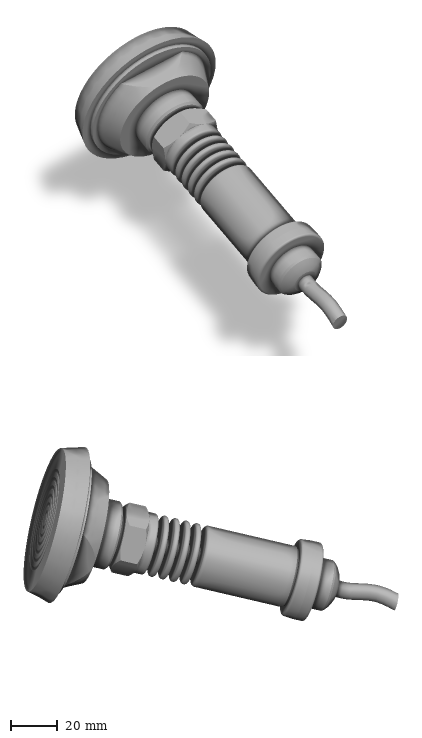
import cadquery as cq
import math

LENGTH = 156.9
EDGE_ROUND = 1.0

RIM_FRONT_RADIUS = 31.5
RIM_RADIUS = 34.28
RIM_END = 10.0
STEP_RADIUS = 30.5
STEP_END = 12.0
HUB_BASE_RADIUS = 27.8
HUB_TOP_RADIUS = 22.9
HUB_END = 22.0
HUB_FLAT_HALF_WIDTH = HUB_TOP_RADIUS
COLLAR_RADIUS = 14.98
ADAPTER_END = 30.8

MEMBRANE_RADIUS = 23.8
MEMBRANE_THICKNESS = 1.0
GROOVE_COUNT = 6
GROOVE_PITCH = 3.6
GROOVE_WIDTH = GROOVE_PITCH / 2
GROOVE_DEPTH = 0.3
FIRST_GROOVE_INNER_RADIUS = 2.59

NECK_RADIUS = 9.34
NECK_FILLET = 0.6
HEX_START = 32.5
HEX_END = 42.7
HEX_ACROSS_FLATS = 27.0
HEX_CHAMFER_ANGLE = 35.0
BODY_RADIUS = 13.41
STEM_RADIUS = 3.6
FINS_START = 47.0
FIN_COUNT = 4
FIN_WIDTH = 2.4
FIN_GAP = 2.43
FIN_ROUND = 1.1
FIN_PITCH = FIN_WIDTH + FIN_GAP
SLEEVE_START = FINS_START + FIN_GAP + FIN_COUNT * FIN_PITCH
SLEEVE_EDGE_ROUND = 1.3
SLEEVE_END = 108.9
SPIGOT_RADIUS = 12.7

RING_START = 109.8
RING_TAPER_END = 114.9
RING_END = 119.5
RING_FRONT_RADIUS = 16.8
RING_RADIUS = 17.3

GLAND_RADIUS = 11.1
GLAND_EDGE_START = 126.0
DOME_START = 127.0
DOME_BASE_RADIUS = 10.5
DOME_MIDDLE = (128.7, 8.5)
GLAND_END = 130.0
GLAND_END_RADIUS = 5.5

CABLE_RADIUS = 3.6
CABLE_END_MARGIN = 3.1
CABLE_DIP = (132.3, -0.6)
CABLE_CREST = (148.7, 2.4)
CABLE_EXIT = (LENGTH, -0.2)
CABLE_EXIT_SLOPE = 26.0


def turned(profile):
    """Revolve a closed (x, radius) profile about the X axis."""
    return profile.close().revolve(360, (0, 0, 0), (1, 0, 0))


def disc(start, end, radius):
    """Cylinder along X between two stations."""
    return cq.Workplane("YZ", origin=(start, 0, 0)).circle(radius).extrude(end - start)


def make_adapter():
    rim = turned(
        cq.Workplane("XY")
        .lineTo(0, RIM_FRONT_RADIUS)
        .lineTo(RIM_END, RIM_RADIUS)
        .lineTo(RIM_END, STEP_RADIUS)
        .lineTo(STEP_END, STEP_RADIUS)
        .lineTo(STEP_END, 0)
    )
    hub = turned(
        cq.Workplane("XY")
        .moveTo(STEP_END, 0)
        .lineTo(STEP_END, HUB_BASE_RADIUS)
        .lineTo(HUB_END, HUB_TOP_RADIUS)
        .lineTo(HUB_END, 0)
    )
    between_flats = cq.Workplane("XY").box(
        2 * LENGTH, 2 * HUB_BASE_RADIUS, 2 * HUB_FLAT_HALF_WIDTH
    )
    collar = disc(HUB_END, ADAPTER_END, COLLAR_RADIUS).faces(">X").chamfer(EDGE_ROUND)
    recess = disc(0, MEMBRANE_THICKNESS, MEMBRANE_RADIUS)
    return rim.union(hub.intersect(between_flats)).union(collar).cut(recess)


def make_membrane():
    """Disc with concentric arc-section grooves in its front face."""
    profile = cq.Workplane("XY").lineTo(0, FIRST_GROOVE_INNER_RADIUS)
    for i in range(GROOVE_COUNT):
        inner = FIRST_GROOVE_INNER_RADIUS + i * GROOVE_PITCH
        outer = inner + GROOVE_WIDTH
        profile = profile.lineTo(0, inner) if i else profile
        profile = profile.threePointArc((GROOVE_DEPTH, (inner + outer) / 2), (0, outer))
    return turned(
        profile.lineTo(0, MEMBRANE_RADIUS)
        .lineTo(MEMBRANE_THICKNESS, MEMBRANE_RADIUS)
        .lineTo(MEMBRANE_THICKNESS, 0)
    )


def make_hexagon():
    """Hexagon with corners up and down, both ends chamfered by a cone."""
    corner_radius = HEX_ACROSS_FLATS / 2 / math.cos(math.radians(30))
    chamfer_base = HEX_ACROSS_FLATS / 2
    chamfer_length = (corner_radius - chamfer_base) * math.tan(math.radians(HEX_CHAMFER_ANGLE))
    prism = (
        cq.Workplane("YZ", origin=(HEX_START, 0, 0))
        .transformed(rotate=(0, 0, 90))
        .polygon(6, 2 * corner_radius)
        .extrude(HEX_END - HEX_START)
    )
    envelope = turned(
        cq.Workplane("XY")
        .moveTo(HEX_START, 0)
        .lineTo(HEX_START, chamfer_base)
        .lineTo(HEX_START + chamfer_length, corner_radius)
        .lineTo(HEX_END - chamfer_length, corner_radius)
        .lineTo(HEX_END, chamfer_base)
        .lineTo(HEX_END, 0)
    )
    return prism.intersect(envelope)


def make_neck():
    """Round neck that flares into the hexagon with a concave fillet."""
    return turned(
        cq.Workplane("XY")
        .moveTo(ADAPTER_END, 0)
        .lineTo(ADAPTER_END, NECK_RADIUS)
        .lineTo(HEX_START - NECK_FILLET, NECK_RADIUS)
        .radiusArc((HEX_START, NECK_RADIUS + NECK_FILLET), -NECK_FILLET)
        .lineTo(HEX_START, 0)
    )


def make_housing():
    neck = make_neck()
    collar = disc(HEX_END, FINS_START, BODY_RADIUS).faces(">X").edges().fillet(EDGE_ROUND)
    stem = disc(FINS_START, SLEEVE_START, STEM_RADIUS)
    sleeve = disc(SLEEVE_START, SLEEVE_END, BODY_RADIUS).faces("<X").edges().fillet(SLEEVE_EDGE_ROUND)
    spigot = disc(SLEEVE_END, RING_START, SPIGOT_RADIUS)
    housing = neck.union(make_hexagon()).union(collar).union(stem).union(sleeve).union(spigot)
    for i in range(FIN_COUNT):
        start = FINS_START + FIN_GAP + i * FIN_PITCH
        fin = disc(start, start + FIN_WIDTH, BODY_RADIUS).faces("<X or >X").edges().fillet(FIN_ROUND)
        housing = housing.union(fin)
    return housing


def make_cap_ring():
    ring = turned(
        cq.Workplane("XY")
        .moveTo(RING_START, 0)
        .lineTo(RING_START, RING_FRONT_RADIUS)
        .lineTo(RING_TAPER_END, RING_RADIUS)
        .lineTo(RING_END, RING_RADIUS)
        .lineTo(RING_END, 0)
    )
    return ring.faces("<X or >X").edges().fillet(EDGE_ROUND)


def make_gland():
    return turned(
        cq.Workplane("XY")
        .moveTo(RING_END, 0)
        .lineTo(RING_END, GLAND_RADIUS)
        .lineTo(GLAND_EDGE_START, GLAND_RADIUS)
        .lineTo(DOME_START, DOME_BASE_RADIUS)
        .threePointArc(DOME_MIDDLE, (GLAND_END, GLAND_END_RADIUS))
        .lineTo(GLAND_END, 0)
    )


def make_cable():
    """Wavy round cable, cut square to X at the gland and at its free end."""
    slope = math.radians(CABLE_EXIT_SLOPE)
    entry = (GLAND_END - CABLE_END_MARGIN, 0)
    overshoot = (
        CABLE_EXIT[0] + CABLE_END_MARGIN,
        CABLE_EXIT[1] - CABLE_END_MARGIN * math.tan(slope),
    )
    path = cq.Workplane("XZ").spline(
        [entry, CABLE_DIP, CABLE_CREST, CABLE_EXIT, overshoot],
        tangents=[(1, 0), (math.cos(slope), -math.sin(slope))],
    )
    swept = cq.Workplane("YZ", origin=(entry[0], 0, 0)).circle(CABLE_RADIUS).sweep(path)
    return swept.intersect(disc(GLAND_END, LENGTH, RIM_RADIUS))


adapter = make_adapter()
membrane = make_membrane()
housing = make_housing()
cap_ring = make_cap_ring()
gland = make_gland()
cable = make_cable()

result = cq.Compound.makeCompound(
    [adapter.val(), membrane.val(), housing.val(), cap_ring.val(), gland.val(), cable.val()]
)